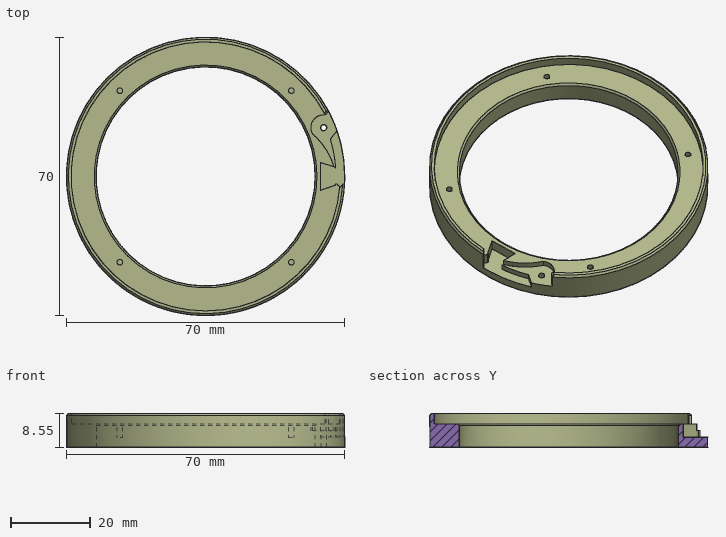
import cadquery as cq
import math

outer_radius = 35.0
bore_radius = 27.5
height = 8.55
edge_chamfer = 0.5

rim_inner_radius = 33.8
floor_z = 5.95

step_depth = 1.7
lever_z = floor_z - step_depth
catch_z = lever_z - step_depth

pivot_x = 29.7
pivot_y = 12.25
pivot_pocket_radius = 3.2
pivot_hole_diameter = 1.5

lever_tip = (32.25, 2.45)
lever_curve_middle = (30.5, 6.4)
lever_outer_middle = (32.25, 5.6)
lever_outer_end = (32.7, 2.2)
lever_shoulder = (31.35, 9.4)
lever_edge = (33.0, 11.5)

catch_inner_x = 28.8
catch_half_width = 3.5
catch_throat = (32.7, -2.2)

catch_nose_start = (32.7, -1.95)
catch_nose_end = (33.0, -1.95)
rim_notch = (33.8, -2.7)
rim_lower_end = (34.6, -1.95)

rim_upper_inner = (30.2, 15.6)
rim_upper_outer = (30.9, 16.45)

outside_x = 39.2
outside_top_y = 16.8

screw_hole_diameter = 1.4
screw_hole_depth = 3.5
screw_hole_offset = 21.55
screw_hole_count = 4


def pocket_cutter(outline, bottom_z):
    """Extrude a closed outline from bottom_z to the top of the ring."""
    return outline.close().extrude(height - bottom_z)


def make_ring():
    disc = cq.Workplane("XY").circle(outer_radius).extrude(height)
    disc = disc.faces(">Z").chamfer(edge_chamfer)
    recess = cq.Workplane("XY").workplane(offset=floor_z).circle(rim_inner_radius).extrude(height - floor_z)
    bore = cq.Workplane("XY").circle(bore_radius).extrude(height)
    countersink = cq.Workplane("XY").add(
        cq.Solid.makeCone(
            bore_radius,
            bore_radius + edge_chamfer,
            edge_chamfer,
            pnt=cq.Vector(0, 0, floor_z - edge_chamfer),
        )
    )
    return disc.cut(recess).cut(bore).cut(countersink)


def pivot_rim_point(angle):
    """Point on the pivot pocket edge at an angle in degrees."""
    turn = math.radians(angle)
    return (
        pivot_x + pivot_pocket_radius * math.cos(turn),
        pivot_y + pivot_pocket_radius * math.sin(turn),
    )


def make_lever_pocket():
    """Round pivot seat, open at the rim, with a tapering lever arm."""
    outline = (
        cq.Workplane("XY", origin=(0, 0, lever_z))
        .moveTo(*rim_upper_outer)
        .lineTo(*rim_upper_inner)
        .lineTo(*pivot_rim_point(90))
        .threePointArc(pivot_rim_point(150), pivot_rim_point(207))
        .threePointArc(lever_curve_middle, lever_tip)
        .lineTo(*lever_outer_end)
        .lineTo(outside_x, lever_outer_end[1])
        .lineTo(outside_x, outside_top_y)
    )
    return pocket_cutter(outline, lever_z)


def make_catch_pocket():
    """Flared catch recess and the deep strip outside the lever arm."""
    outline = (
        cq.Workplane("XY", origin=(0, 0, catch_z))
        .moveTo(*lever_edge)
        .lineTo(*lever_shoulder)
        .threePointArc(lever_outer_middle, lever_outer_end)
        .lineTo(*lever_tip)
        .lineTo(catch_inner_x, catch_half_width)
        .lineTo(catch_inner_x, -catch_half_width)
        .lineTo(*catch_throat)
        .lineTo(*catch_nose_start)
        .lineTo(*catch_nose_end)
        .lineTo(*rim_notch)
        .lineTo(*rim_lower_end)
        .lineTo(outside_x, rim_lower_end[1])
        .lineTo(outside_x, outside_top_y)
    )
    return pocket_cutter(outline, catch_z)


def make_pivot_hole():
    return cq.Workplane("XY").center(pivot_x, pivot_y).circle(pivot_hole_diameter / 2).extrude(height)


def make_screw_holes():
    spacing = 2 * screw_hole_offset
    side_count = screw_hole_count // 2
    return (
        cq.Workplane("XY", origin=(0, 0, floor_z - screw_hole_depth))
        .rarray(spacing, spacing, side_count, side_count)
        .circle(screw_hole_diameter / 2)
        .extrude(screw_hole_depth)
    )


def chamfer_upper_rim_end(body):
    """Bevel the top edge where the rim stops beside the pivot."""
    end_x = (rim_upper_inner[0] + rim_upper_outer[0]) / 2
    end_y = (rim_upper_inner[1] + rim_upper_outer[1]) / 2
    end_point = (end_x, end_y, height)
    return body.edges(cq.selectors.NearestToPointSelector(end_point)).chamfer(edge_chamfer)


pocketed_ring = make_ring().cut(make_lever_pocket()).cut(make_catch_pocket())
beveled_ring = chamfer_upper_rim_end(pocketed_ring)
result = beveled_ring.cut(make_pivot_hole()).cut(make_screw_holes())